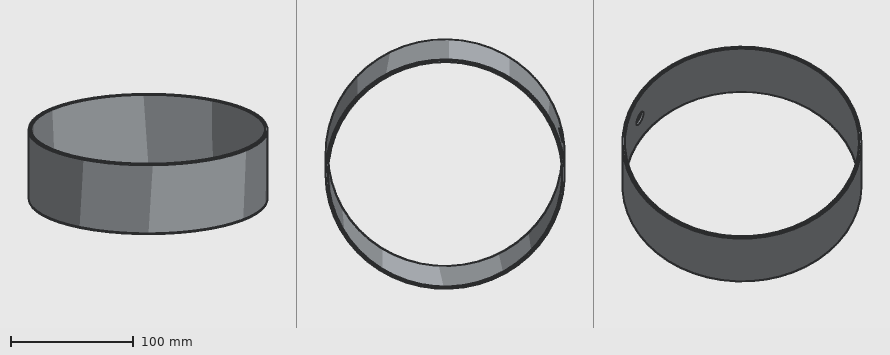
import cadquery as cq
import math

outer_diameter = 195.0
wall_thickness = 2.4
height = 60.0

outer_chamfer_height = 1.2
outer_chamfer_angle = 20.0

inner_chamfer = 0.6

hole_diameter = 12.0

outer_radius = outer_diameter / 2
inner_radius = outer_radius - wall_thickness
outer_chamfer_width = outer_chamfer_height * math.tan(math.radians(outer_chamfer_angle))


def chamfered_ring():
    """Ring standing on the XY plane: the wall section at -Y, revolved about Z."""
    rim_outer_radius = outer_radius - outer_chamfer_width
    rim_inner_radius = inner_radius + inner_chamfer
    wall_section = (
        cq.Workplane("YZ")
        .moveTo(-rim_inner_radius, 0)
        .lineTo(-rim_outer_radius, 0)
        .lineTo(-outer_radius, outer_chamfer_height)
        .lineTo(-outer_radius, height - outer_chamfer_height)
        .lineTo(-rim_outer_radius, height)
        .lineTo(-rim_inner_radius, height)
        .lineTo(-inner_radius, height - inner_chamfer)
        .lineTo(-inner_radius, inner_chamfer)
        .close()
    )
    return wall_section.revolve(360, (0, 0, 0), (0, 1, 0))


def radial_hole():
    """Cylinder running from the ring axis out past the +Y wall."""
    hole_length = outer_radius + wall_thickness
    hole_circle = cq.Workplane("XZ", origin=(0, 0, height / 2)).circle(hole_diameter / 2)
    return hole_circle.extrude(-hole_length)


result = chamfered_ring().cut(radial_hole())